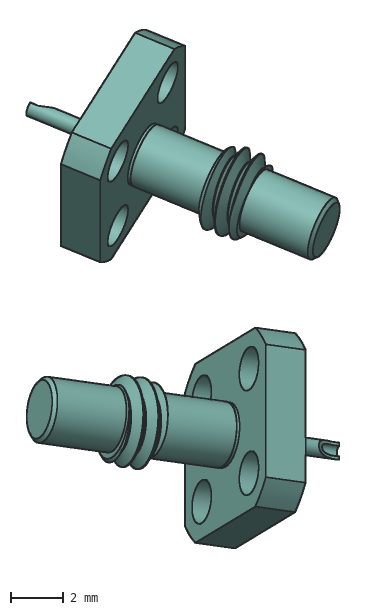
import cadquery as cq
import math

OVERALL_LENGTH = 12.7
PIN_LENGTH = 3.14
FLANGE_THICKNESS = 1.69
BARREL_LENGTH = OVERALL_LENGTH - PIN_LENGTH - FLANGE_THICKNESS

FLANGE_SIDE = 7.14
FLANGE_CORNER_DIAMETER = 8.89
HOLE_SPACING = 4.17
HOLE_DIAMETER = 1.7

PIN_DIAMETER = 0.68
BORE_DIAMETER = 0.42
BORE_DEPTH = 1.5
SCOOP_START = 0.33
SCOOP_END = 1.03
SCOOP_SAGITTA = 0.04

BARREL_DIAMETER = 2.56
BARREL_CHAMFER = 0.15
NECK_LENGTH = 0.125
NECK_DIAMETER = 2.53

COLLAR_STANDOFF = 3.15
THREAD_START = FLANGE_THICKNESS + COLLAR_STANDOFF
THREAD_LENGTH = 1.65
THREAD_MAJOR_DIAMETER = 3.505
THREAD_ROOT_DIAMETER = 2.57
THREAD_PITCH = 0.635
THREAD_CREST_WIDTH = 0.035
THREAD_ROOT_WIDTH = 0.04
THREAD_END_CHAMFER = 0.24
CREST_OFFSET = 0.52
GROOVE_OFFSET = CREST_OFFSET - 2.5 * THREAD_PITCH
GROOVE_TURNS = 5
CUTTER_CLEARANCE = 0.01


def rod(start, length, diameter):
    """Cylinder on the connector axis."""
    return cq.Workplane("YZ", origin=(start, 0, 0)).circle(diameter / 2).extrude(length)


def flange():
    """Square plate with corners rounded about the axis and four mounting holes."""
    square = cq.Workplane("YZ").rect(FLANGE_SIDE, FLANGE_SIDE).extrude(FLANGE_THICKNESS)
    plate = square.intersect(rod(0, FLANGE_THICKNESS, FLANGE_CORNER_DIAMETER))
    hole_square = plate.faces("<X").workplane().rect(HOLE_SPACING, HOLE_SPACING, forConstruction=True)
    return hole_square.vertices().hole(HOLE_DIAMETER)


def solder_pin():
    """Pin with a blind bore and a curved scoop opening its +Y half at the tip."""
    tip = -PIN_LENGTH
    radius = PIN_DIAMETER / 2
    chord_x = SCOOP_END - SCOOP_START
    chord = math.hypot(chord_x, radius)
    scoop_middle = (
        tip + (SCOOP_START + SCOOP_END) / 2 + SCOOP_SAGITTA * radius / chord,
        radius / 2 - SCOOP_SAGITTA * chord_x / chord,
    )
    scoop = (
        cq.Workplane("XY")
        .moveTo(tip, 0)
        .lineTo(tip + SCOOP_START, 0)
        .threePointArc(scoop_middle, (tip + SCOOP_END, radius))
        .lineTo(tip, radius)
        .close()
        .extrude(radius, both=True)
    )
    bore = rod(tip, BORE_DEPTH, BORE_DIAMETER)
    return rod(tip, PIN_LENGTH, PIN_DIAMETER).cut(bore).cut(scoop)


def barrel():
    """Plain barrel with a chamfered free end and a short relieved neck at the flange."""
    neck = rod(FLANGE_THICKNESS, NECK_LENGTH, NECK_DIAMETER)
    body = rod(FLANGE_THICKNESS + NECK_LENGTH, BARREL_LENGTH - NECK_LENGTH, BARREL_DIAMETER)
    return neck.union(body.faces(">X").chamfer(BARREL_CHAMFER))


def thread_groove():
    """Right-handed V groove swept past both ends of the collar."""
    root_radius = THREAD_ROOT_DIAMETER / 2
    cutter_radius = THREAD_MAJOR_DIAMETER / 2 + CUTTER_CLEARANCE
    half_width = (THREAD_PITCH - THREAD_CREST_WIDTH) / 2
    profile = (
        cq.Workplane("XZ")
        .moveTo(root_radius, -THREAD_ROOT_WIDTH / 2)
        .lineTo(root_radius, THREAD_ROOT_WIDTH / 2)
        .lineTo(cutter_radius, half_width)
        .lineTo(cutter_radius, -half_width)
        .close()
    )
    helix = cq.Wire.makeHelix(THREAD_PITCH, GROOVE_TURNS * THREAD_PITCH, root_radius)
    groove = profile.sweep(cq.Workplane(obj=helix), isFrenet=True)
    groove = groove.rotate((0, 0, 0), (1, 1, 1), 120)
    return groove.translate((THREAD_START + GROOVE_OFFSET, 0, 0))


def threaded_collar():
    """Collar with an external thread and chamfered ends."""
    blank = rod(THREAD_START, THREAD_LENGTH, THREAD_MAJOR_DIAMETER)
    envelope = rod(THREAD_START, THREAD_LENGTH, THREAD_MAJOR_DIAMETER + 2 * CUTTER_CLEARANCE)
    envelope = envelope.edges("%CIRCLE").chamfer(THREAD_END_CHAMFER + CUTTER_CLEARANCE)
    return blank.cut(thread_groove()).intersect(envelope)


result = flange().union(solder_pin()).union(barrel()).union(threaded_collar())